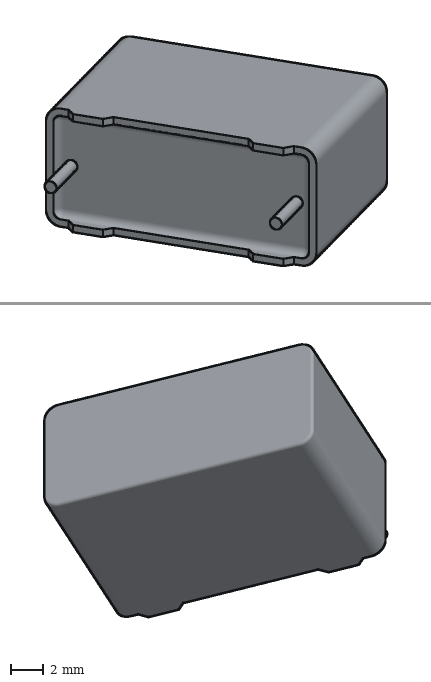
import cadquery as cq

case_width = 18.0
case_depth = 12.0
case_height = 8.0
wall = 0.5
corner_radius = 1.0
back_fillet = 0.2

recess_depth = 0.5
recess_corner_radius = corner_radius - wall
recess_floor_fillet = recess_depth

foot_height = 0.5
foot_base_width = 3.0
foot_tip_width = foot_base_width - 2 * foot_height
foot_spacing = 12.0

pin_diameter = 0.8
pin_spacing = 15.0
pin_reach = 3.0


def rounded_block(width, height, radius, y_start, length):
    """Block running along +Y from y_start, with rounded edges along Y."""
    return (
        cq.Workplane("XZ", origin=(0, y_start, 0))
        .rect(width, height)
        .extrude(-length)
        .edges("|Y")
        .fillet(radius)
    )


def make_foot(x_center, z_bottom):
    """Trapezoidal foot, one wall thick, standing on the rim."""
    return (
        cq.Workplane("XY", origin=(x_center, 0, z_bottom))
        .moveTo(-foot_base_width / 2, 0)
        .lineTo(-foot_tip_width / 2, -foot_height)
        .lineTo(foot_tip_width / 2, -foot_height)
        .lineTo(foot_base_width / 2, 0)
        .close()
        .extrude(wall)
    )


def make_case():
    """Rounded case with a recessed front and four feet on its rim."""
    body = rounded_block(case_width, case_height, corner_radius, 0, case_depth)
    body = body.faces(">Y").edges().fillet(back_fillet)

    recess = rounded_block(
        case_width - 2 * wall,
        case_height - 2 * wall,
        recess_corner_radius,
        -recess_depth,
        2 * recess_depth,
    )
    recess = recess.faces(">Y").edges().fillet(recess_floor_fillet)
    body = body.cut(recess)

    for x_center in (-foot_spacing / 2, foot_spacing / 2):
        for z_bottom in (-case_height / 2, case_height / 2 - wall):
            body = body.union(make_foot(x_center, z_bottom))
    return body


def make_pin(x_center):
    """Round pin standing on the recess floor and pointing along -Y."""
    return (
        cq.Workplane("XZ", origin=(x_center, recess_depth, 0))
        .circle(pin_diameter / 2)
        .extrude(recess_depth + pin_reach)
    )


case = make_case()
pins = [make_pin(x_center) for x_center in (-pin_spacing / 2, pin_spacing / 2)]

result = cq.Compound.makeCompound([case.val(), *[pin.val() for pin in pins]])